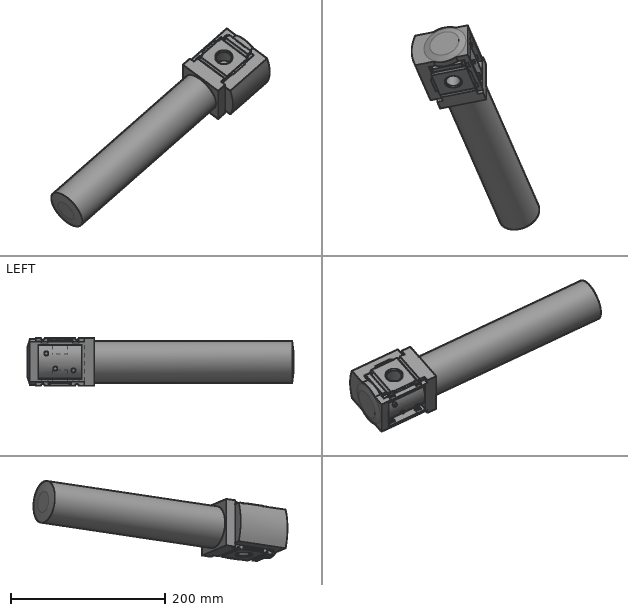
import cadquery as cq


HEAD_HALF = 31.0
HEAD_FRONT = -84.2
LEDGE_Z = 26.0
LEDGE_FRONT = -70.7
PANEL_REAR = -8.3
OVERLAP = 3.5

COVER_FLAT_X = 40.0
COVER_CROWN_X = 45.0

CORE_RADIUS = 30.0
CAP_BASE_RADIUS = 28.3
CAP_TIP_RADIUS = 19.5
CAP_HEIGHT = 2.8

TOTAL_LENGTH = 345.0
TUBE_RADIUS = 55.0 / 2
TUBE_END = CAP_HEIGHT - TOTAL_LENGTH
TUBE_CONE_HEIGHT = 1.7
TUBE_FLAT_RADIUS = 13.8

PORT_Y = -39.5
PANEL_HALF_WIDTH = 23.8
RAIL_HALF_WIDTH = 19.5
RAIL_FRONT = -18.0
CORNER_STEP_Z = LEDGE_Z + 0.7
GROOVE_DEPTH = 2.5
REAR_GROOVE = (-15.0, -19.5)
FRONT_GROOVE = (-59.5, -63.5)

LIP_REACH = 3.5
LIP_BOTTOM_Z = 27.5
LIP_TOP_Z = HEAD_HALF - 0.7
LIP_CENTER_Y = PORT_Y
LIP_LENGTH = 29.5

PORT_RADIUS = 9.5
PORT_CHAMFER = 1.7
PORT_DEPTH = 20.7

WINDOW_HALF_HEIGHT = 22.5
WINDOW_REAR = -11.0
WINDOW_FRONT = -67.5
SLIT_HEIGHT = 1.0
SLIT_BOTTOM_X = -18.5
PIN_DIAMETER = 5.5
PIN_TIP_X = -30.5
PIN_PLACES = [(-21.7, 11.0), (-33.5, -8.5), (-57.0, -11.0)]

CLIP_X = (-27.3, -22.8)
CLIP_DEPTH = 2.8
CLIP_PLACES_Y = [(-23.5, -15.2), (-63.5, -56.0)]


def box(x0, x1, y0, y1, z0, z1):
    """Box between two opposite corners."""
    return cq.Workplane("XY").box(x1 - x0, y1 - y0, z1 - z0, centered=False).translate((x0, y0, z0))


def rod(radius, y0, y1):
    """Cylinder on the Y axis between two Y places, y0 > y1."""
    return cq.Workplane("XZ", origin=(0, y0, 0)).circle(radius).extrude(y0 - y1)


def both_sides(shape):
    """The shape together with its mirror image below the XY plane."""
    return shape.union(shape.mirror("XY"))


def make_cover():
    return (
        cq.Workplane("XZ")
        .moveTo(0, -LEDGE_Z)
        .lineTo(COVER_FLAT_X, -LEDGE_Z)
        .threePointArc((COVER_CROWN_X, 0), (COVER_FLAT_X, LEDGE_Z))
        .lineTo(0, LEDGE_Z)
        .close()
        .extrude(-LEDGE_FRONT)
    )


def make_tube_and_cap():
    """Turned tube with a shallow coned end, and the coned rear cap."""
    return (
        cq.Workplane("XY")
        .moveTo(0, CAP_HEIGHT)
        .lineTo(CAP_TIP_RADIUS, CAP_HEIGHT)
        .lineTo(CAP_BASE_RADIUS, 0)
        .lineTo(CORE_RADIUS, 0)
        .lineTo(CORE_RADIUS, HEAD_FRONT + OVERLAP)
        .lineTo(TUBE_RADIUS, HEAD_FRONT + OVERLAP)
        .lineTo(TUBE_RADIUS, TUBE_END + TUBE_CONE_HEIGHT)
        .lineTo(TUBE_FLAT_RADIUS, TUBE_END)
        .lineTo(0, TUBE_END)
        .close()
        .revolve(360, (0, 0, 0), (0, 1, 0))
    )


def make_groove(y_rear, y_front):
    """Round-bottomed groove across the top of the panel."""
    y_middle = (y_rear + y_front) / 2
    return (
        cq.Workplane("YZ")
        .moveTo(y_rear, HEAD_HALF)
        .threePointArc((y_middle, HEAD_HALF - GROOVE_DEPTH), (y_front, HEAD_HALF))
        .close()
        .extrude(PANEL_HALF_WIDTH, both=True)
    )


def make_lip(side):
    """Overhanging dovetail lip on one long edge of the panel, side = -1 or 1."""
    root = side * PANEL_HALF_WIDTH
    edge = side * (PANEL_HALF_WIDTH + LIP_REACH)
    half = LIP_LENGTH / 2
    lip = (
        cq.Workplane("XZ", origin=(0, LIP_CENTER_Y + half, 0))
        .polyline([(root, LIP_BOTTOM_Z), (edge, LIP_TOP_Z), (root, LIP_TOP_Z)])
        .close()
        .extrude(LIP_LENGTH)
    )
    outline = (
        cq.Workplane("XY")
        .polyline([
            (root, LIP_CENTER_Y + half),
            (edge, LIP_CENTER_Y + half - LIP_REACH),
            (edge, LIP_CENTER_Y - half + LIP_REACH),
            (root, LIP_CENTER_Y - half),
        ])
        .close()
        .extrude(HEAD_HALF)
    )
    return lip.intersect(outline)


def make_panel():
    """Raised panel above the XY plane with its rear rail and lips."""
    panel = box(-PANEL_HALF_WIDTH, PANEL_HALF_WIDTH, LEDGE_FRONT, PANEL_REAR, 0, HEAD_HALF)
    for side in (-1, 1):
        corner_x = sorted([side * RAIL_HALF_WIDTH, side * (PANEL_HALF_WIDTH + OVERLAP)])
        panel = panel.cut(box(*corner_x, RAIL_FRONT, 0, CORNER_STEP_Z, HEAD_HALF + OVERLAP))
        panel = panel.union(make_lip(side))
    return panel


def make_port():
    """Blind port with a chamfered mouth."""
    return (
        cq.Workplane("XZ")
        .moveTo(0, HEAD_HALF)
        .lineTo(PORT_RADIUS + PORT_CHAMFER, HEAD_HALF)
        .lineTo(PORT_RADIUS, HEAD_HALF - PORT_CHAMFER)
        .lineTo(PORT_RADIUS, HEAD_HALF - PORT_DEPTH)
        .lineTo(0, HEAD_HALF - PORT_DEPTH)
        .close()
        .revolve(360, (0, 0, 0), (0, 1, 0))
        .translate((0, PORT_Y, 0))
    )


def make_window():
    """Side opening that lays the core cylinder bare, with a slit above and below the core."""
    opening = box(
        -HEAD_HALF - OVERLAP, 0, WINDOW_FRONT, WINDOW_REAR, -WINDOW_HALF_HEIGHT, WINDOW_HALF_HEIGHT
    )
    opening = opening.cut(rod(CORE_RADIUS, 0, HEAD_FRONT))
    slit = box(
        -HEAD_HALF, SLIT_BOTTOM_X, WINDOW_FRONT, WINDOW_REAR,
        WINDOW_HALF_HEIGHT - SLIT_HEIGHT, WINDOW_HALF_HEIGHT,
    )
    return opening.union(both_sides(slit))


def make_pins():
    return (
        cq.Workplane("YZ", origin=(PIN_TIP_X, 0, 0))
        .pushPoints(PIN_PLACES)
        .circle(PIN_DIAMETER / 2)
        .extrude(-PIN_TIP_X)
    )


def make_clip_recesses(surface_z, top_z):
    """Recesses sunk below the given surface and open up to top_z."""
    recesses = cq.Workplane("XY")
    for y_range in CLIP_PLACES_Y:
        recesses = recesses.union(box(*CLIP_X, *y_range, surface_z - CLIP_DEPTH, top_z))
    return recesses


head = box(-HEAD_HALF, HEAD_HALF, LEDGE_FRONT, 0, -LEDGE_Z, LEDGE_Z)
head = head.union(box(-HEAD_HALF, HEAD_HALF, HEAD_FRONT, LEDGE_FRONT, -HEAD_HALF, HEAD_HALF))
head = head.union(make_cover())
head = head.union(both_sides(make_panel()))
head = head.union(make_tube_and_cap())

for groove in (REAR_GROOVE, FRONT_GROOVE):
    head = head.cut(both_sides(make_groove(*groove)))
head = head.cut(both_sides(make_port()))
head = head.cut(make_window())
head = head.cut(make_clip_recesses(LEDGE_Z, HEAD_HALF))
head = head.cut(make_clip_recesses(-WINDOW_HALF_HEIGHT, -WINDOW_HALF_HEIGHT + CLIP_DEPTH))

result = head.union(make_pins())